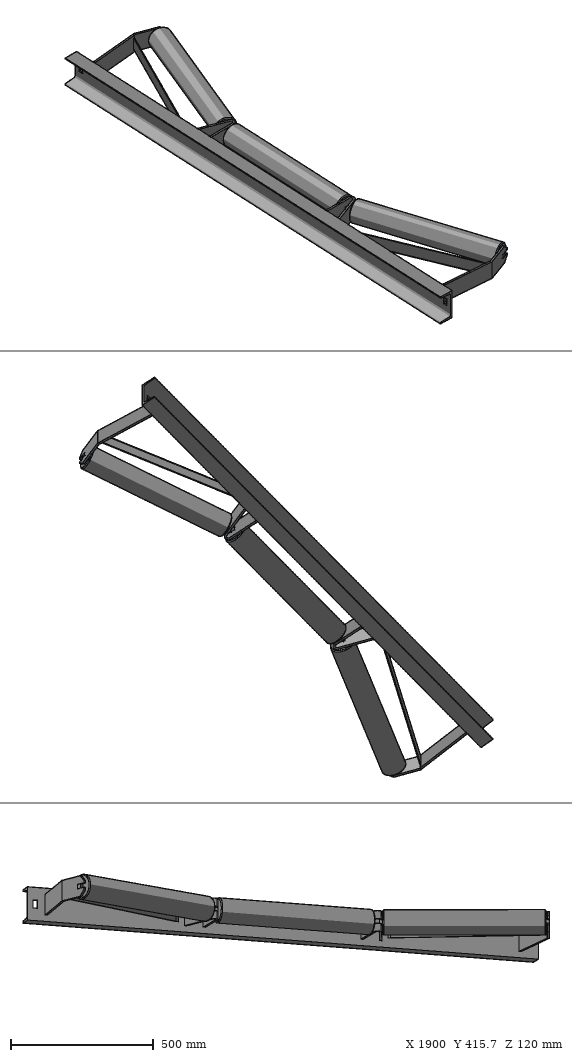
import cadquery as cq
import math


BEAM_LENGTH = 1900.0
BEAM_HEIGHT = 120.0
BEAM_DEPTH = 55.0
WEB_THICKNESS = 7.0
FLANGE_THICKNESS = 9.0
FLANGE_SLOPE = 0.08
ROOT_RADIUS = 9.0
TOE_RADIUS = 4.4
END_SLANT = 2.0

SLOT_SPACING = 1843.0
SLOT_WIDTH = 17.0
SLOT_HEIGHT = 28.0

ROLLER_DIAMETER = 90.0
ROLLER_LENGTH = 572.0
TROUGH_ANGLE = 20.0
FLAT_ROLLER_Y = 171.0
TILTED_ROLLER_X = 595.0
TILTED_ROLLER_Y = 277.0
END_CONE_LENGTH = 4.0
END_CONE_DEPTH = 4.0
SHAFT_SIZE = 16.2

PLATE_THICKNESS = 8.0
BRACKET_WIDTH = 75.0
END_GAP = 4.0
RIDGE_Y = 200.0
OUTER_FOOT_X = 882.0
OUTER_PLATE_DROP = 95.0
OUTER_LEG_LEAN = 5.0
OUTER_TIP_RISE = 27.0
TIP_CHAMFER = 20.0

STRAP_WIDTH = 50.0
STRAP_THICKNESS = 4.0
STRAP_FOOT_X = 390.0

SIN_TROUGH = math.sin(math.radians(TROUGH_ANGLE))
COS_TROUGH = math.cos(math.radians(TROUGH_ANGLE))
TAN_TROUGH = SIN_TROUGH / COS_TROUGH
TAN_LEAN = math.tan(math.radians(OUTER_LEG_LEAN))
HALF_PLATE = PLATE_THICKNESS / 2


def on_left_axis(distance, rise=0.0):
    """Point at a distance from the left roller's middle (outward positive) and off its axis."""
    x = -TILTED_ROLLER_X - distance * COS_TROUGH + rise * SIN_TROUGH
    y = TILTED_ROLLER_Y + distance * SIN_TROUGH + rise * COS_TROUGH
    return x, y


def extrude_mid_z(points, width):
    return cq.Workplane("XY").polyline(points).close().extrude(width / 2, both=True)


def mirrored_pair(left_body):
    return [left_body, left_body.mirror("YZ")]


def lengthwise_edges(y, z):
    """Selector for the beam's two long edges at height y, on both sides of the middle plane."""
    upper = cq.selectors.NearestToPointSelector((0, y, z))
    lower = cq.selectors.NearestToPointSelector((0, y, -z))
    return upper + lower


def make_beam():
    half_length = BEAM_LENGTH / 2
    half_height = BEAM_HEIGHT / 2
    taper = FLANGE_SLOPE * BEAM_DEPTH / 2
    toe_z = half_height - FLANGE_THICKNESS + taper
    root_y = BEAM_DEPTH - WEB_THICKNESS
    root_z = toe_z - FLANGE_SLOPE * root_y
    profile = [
        (BEAM_DEPTH, -half_height),
        (BEAM_DEPTH, half_height),
        (0, half_height),
        (0, toe_z),
        (root_y, root_z),
        (root_y, -root_z),
        (0, -toe_z),
        (0, -half_height),
    ]
    beam = cq.Workplane("YZ").polyline(profile).close().extrude(half_length, both=True)
    beam = beam.edges(lengthwise_edges(root_y, root_z)).fillet(ROOT_RADIUS)
    beam = beam.edges(lengthwise_edges(0, toe_z)).fillet(TOE_RADIUS)

    end_waste = [(half_length, BEAM_DEPTH), (half_length - END_SLANT, 0), (half_length, 0)]
    beam = beam.cut(extrude_mid_z(end_waste, BEAM_HEIGHT))

    slots = (
        cq.Workplane("XZ")
        .pushPoints([(-SLOT_SPACING / 2, 0), (SLOT_SPACING / 2, 0)])
        .rect(SLOT_WIDTH, SLOT_HEIGHT)
        .extrude(-BEAM_DEPTH)
    )
    return beam.cut(slots)


def make_roller():
    """Roller along X about the origin, with shaft ends flush with the far faces of its brackets."""
    radius = ROLLER_DIAMETER / 2
    half_length = ROLLER_LENGTH / 2
    half_profile = [
        (-half_length, 0),
        (-half_length, radius - END_CONE_DEPTH),
        (-half_length + END_CONE_LENGTH, radius),
        (half_length - END_CONE_LENGTH, radius),
        (half_length, radius - END_CONE_DEPTH),
        (half_length, 0),
    ]
    shell = cq.Workplane("XZ").polyline(half_profile).close().revolve(360, (0, 0, 0), (1, 0, 0))
    shaft_length = ROLLER_LENGTH + 2 * (END_GAP + PLATE_THICKNESS)
    return shell.union(cq.Workplane("XY").box(shaft_length, SHAFT_SIZE, SHAFT_SIZE))


def make_flat_roller():
    return make_roller().translate((0, FLAT_ROLLER_Y, 0))


def make_left_roller():
    roller = make_roller().rotate((0, 0, 0), (0, 0, 1), -TROUGH_ANGLE)
    return roller.translate((-TILTED_ROLLER_X, TILTED_ROLLER_Y, 0))


PLATE_DISTANCE = ROLLER_LENGTH / 2 + END_GAP + HALF_PLATE


def tilted_plate_x(distance, y):
    """X at height y on the plane square to the left roller at a distance from its middle."""
    x, plane_y = on_left_axis(distance)
    return x + (y - plane_y) * TAN_TROUGH


def shaft_notch(bottom_y, top_y, left_x, right_x):
    return (
        cq.Workplane("XY")
        .box(right_x - left_x, top_y - bottom_y, SHAFT_SIZE, centered=(False, False, True))
        .translate((left_x, bottom_y, 0))
    )


def make_left_inner_bracket():
    """Hairpin plate: one leg upright beside the flat roller, one square to the tilted roller."""
    half_angle = math.radians(TROUGH_ANGLE / 2)
    upright_middle_x = -PLATE_DISTANCE
    foot_x = tilted_plate_x(-PLATE_DISTANCE, BEAM_DEPTH)
    apex_y = BEAM_DEPTH + (upright_middle_x - foot_x) / TAN_TROUGH
    bend_radius = (apex_y - RIDGE_Y + HALF_PLATE) * math.sin(half_angle) / (1 - math.sin(half_angle))
    center_y = RIDGE_Y - HALF_PLATE - bend_radius
    center_x = upright_middle_x - bend_radius

    def edge(offset):
        """Upright face, slanted face's foot and end, and bend top at an offset from mid-plate."""
        radius = bend_radius + offset
        upright_x = upright_middle_x + offset
        slant_foot = (foot_x - offset / COS_TROUGH, BEAM_DEPTH)
        slant_end = (center_x - radius * COS_TROUGH, center_y + radius * SIN_TROUGH)
        return upright_x, slant_foot, slant_end, (center_x, center_y + radius)

    out_x, out_foot, out_end, out_top = edge(HALF_PLATE)
    in_x, in_foot, in_end, in_top = edge(-HALF_PLATE)
    bracket = (
        cq.Workplane("XY")
        .moveTo(out_x, BEAM_DEPTH)
        .lineTo(out_x, center_y)
        .threePointArc(out_top, out_end)
        .lineTo(*out_foot)
        .lineTo(*in_foot)
        .lineTo(*in_end)
        .threePointArc(in_top, (in_x, center_y))
        .lineTo(in_x, BEAM_DEPTH)
        .close()
        .extrude(BRACKET_WIDTH / 2, both=True)
    )
    return bracket.cut(shaft_notch(FLAT_ROLLER_Y - SHAFT_SIZE / 2, RIDGE_Y, foot_x, out_x))


def outer_leg_x(offset, y):
    """X at height y on the leaning leg's face at an outward offset from its middle plane."""
    lean = math.radians(OUTER_LEG_LEAN)
    return -OUTER_FOOT_X - offset / math.cos(lean) - (y - BEAM_DEPTH) * TAN_LEAN


def outer_leg_top(offset):
    """Point where a face of the leg meets the plane of the tilted plate's square foot."""
    foot_x, foot_y = on_left_axis(PLATE_DISTANCE, -OUTER_PLATE_DROP)
    x_gap = outer_leg_x(offset, foot_y) - foot_x
    x = foot_x + x_gap / (1 - TAN_TROUGH * TAN_LEAN)
    return x, foot_y - (x - foot_x) * TAN_TROUGH


def make_left_outer_bracket():
    """Plate square to the tilted roller, its foot resting on a leg that leans outward."""
    inner_face = PLATE_DISTANCE - HALF_PLATE
    outer_face = PLATE_DISTANCE + HALF_PLATE
    outline = [
        (outer_leg_x(HALF_PLATE, BEAM_DEPTH), BEAM_DEPTH),
        outer_leg_top(HALF_PLATE),
        on_left_axis(outer_face, -OUTER_PLATE_DROP),
        on_left_axis(outer_face, OUTER_TIP_RISE),
        on_left_axis(inner_face, OUTER_TIP_RISE),
        on_left_axis(inner_face, -OUTER_PLATE_DROP),
        outer_leg_top(-HALF_PLATE),
        (outer_leg_x(-HALF_PLATE, BEAM_DEPTH), BEAM_DEPTH),
    ]
    bracket = extrude_mid_z(outline, BRACKET_WIDTH)
    tip_x, tip_y = on_left_axis(PLATE_DISTANCE, OUTER_TIP_RISE)
    for side in (-1, 1):
        tip_corner = cq.selectors.NearestToPointSelector((tip_x, tip_y, side * BRACKET_WIDTH / 2))
        bracket = bracket.edges(tip_corner).chamfer(TIP_CHAMFER)
    notch = [
        on_left_axis(inner_face, -SHAFT_SIZE / 2),
        on_left_axis(outer_face, -SHAFT_SIZE / 2),
        on_left_axis(outer_face, OUTER_TIP_RISE),
        on_left_axis(inner_face, OUTER_TIP_RISE),
    ]
    return bracket.cut(extrude_mid_z(notch, SHAFT_SIZE))


def make_left_strap():
    """Flat bar from the outer bracket's bend down to the web, square-edged against both."""
    corner_x, corner_y = outer_leg_top(-HALF_PLATE)
    slope = (corner_y - BEAM_DEPTH) / (-STRAP_FOOT_X - corner_x)
    drop = STRAP_THICKNESS * math.sqrt(1 + slope ** 2)
    top_foot = (-STRAP_FOOT_X, BEAM_DEPTH)
    bottom_foot = (-STRAP_FOOT_X - drop / slope, BEAM_DEPTH)
    fall = drop / (1 - slope * TAN_LEAN)
    bottom_corner = (corner_x + fall * TAN_LEAN, corner_y - fall)
    return extrude_mid_z([(corner_x, corner_y), top_foot, bottom_foot, bottom_corner], STRAP_WIDTH)


beam = make_beam()
flat_roller = make_flat_roller()
tilted_rollers = mirrored_pair(make_left_roller())
inner_brackets = mirrored_pair(make_left_inner_bracket())
outer_brackets = mirrored_pair(make_left_outer_bracket())
straps = mirrored_pair(make_left_strap())

bodies = [beam, flat_roller, *tilted_rollers, *inner_brackets, *outer_brackets, *straps]
result = cq.Compound.makeCompound([body.val() for body in bodies])